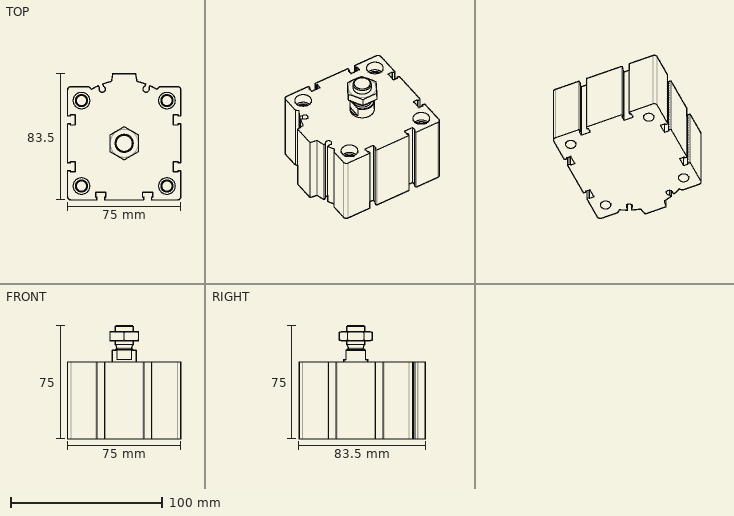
import cadquery as cq
import math

HOUSING_WIDTH = 75.0
HOUSING_HEIGHT = 51.0
CORNER_RADIUS = 2.2
HALF_WIDTH = HOUSING_WIDTH / 2

CROWN_RADIUS = 41.8
NOTCH_X = 23.4
TAB_TOP_Y = 46.0
TAB_TOP_HALF_WIDTH = 7.6
TAB_BASE_HALF_WIDTH = 8.5
TAB_ROOT_RADIUS = 0.5

KEYHOLE_ANGLE = 22.0
KEYHOLE_DIAMETER = 4.0
KEYHOLE_CENTRE_RADIUS = 38.6
KEYHOLE_NECK_WIDTH = 2.8
KEYHOLE_CUT_OVERRUN = 1.0

T_OFFSET = 15.5
T_DEPTH = 5.0
T_WIDTH = 6.5
T_LIP_DEPTH = 1.9
T_MOUTH_WIDTH = 5.0
T_LIP_RADIUS = 0.5

BOLT_SPACING = 56.5
BOLT_HOLE_DIAMETER = 6.8
BOLT_CHAMFER_DIAMETER = 8.0
COUNTERBORE_DIAMETER = 11.0
COUNTERBORE_DEPTH = 7.0

SHOULDER_DIAMETER = 16.0
SHOULDER_HEIGHT = 8.0
SHOULDER_CHAMFER = 0.3
FLATS_WIDTH = 13.0
COLLAR_HEIGHT = 1.5
NECK_DIAMETER = 10.2
NECK_FLARE_HEIGHT = 0.7
NECK_LENGTH = 0.5
NECK_RUNOUT_HEIGHT = 2.3
THREAD_DIAMETER = 12.0
TIP_DIAMETER = 10.65
ROD_LENGTH = 24.0

NUT_ACROSS_FLATS = 19.0
NUT_HEIGHT = 6.0
NUT_TO_ROD_TIP = 4.0
NUT_FACE_DIAMETER = 18.6
NUT_CHAMFER_HEIGHT = 0.4

ROD_TIP_Z = HOUSING_HEIGHT + ROD_LENGTH
NUT_TOP_Z = ROD_TIP_Z - NUT_TO_ROD_TIP


def make_housing_blank():
    """Extrude the square outline with its notches, curved crown and tab."""
    notch_rise = HALF_WIDTH - NOTCH_X
    root_x = (math.sqrt(2 * CROWN_RADIUS**2 - notch_rise**2) - notch_rise) / 2
    root_y = root_x + notch_rise
    tab_base_y = math.sqrt(CROWN_RADIUS**2 - TAB_BASE_HALF_WIDTH**2)
    arc_middle_angle = (math.atan2(root_y, root_x) + math.atan2(tab_base_y, TAB_BASE_HALF_WIDTH)) / 2
    arc_middle_x = CROWN_RADIUS * math.cos(arc_middle_angle)
    arc_middle_y = CROWN_RADIUS * math.sin(arc_middle_angle)

    blank = (
        cq.Workplane("XY")
        .moveTo(-HALF_WIDTH, -HALF_WIDTH)
        .lineTo(HALF_WIDTH, -HALF_WIDTH)
        .lineTo(HALF_WIDTH, HALF_WIDTH)
        .lineTo(NOTCH_X, HALF_WIDTH)
        .lineTo(root_x, root_y)
        .threePointArc((arc_middle_x, arc_middle_y), (TAB_BASE_HALF_WIDTH, tab_base_y))
        .lineTo(TAB_TOP_HALF_WIDTH, TAB_TOP_Y)
        .lineTo(-TAB_TOP_HALF_WIDTH, TAB_TOP_Y)
        .lineTo(-TAB_BASE_HALF_WIDTH, tab_base_y)
        .threePointArc((-arc_middle_x, arc_middle_y), (-root_x, root_y))
        .lineTo(-NOTCH_X, HALF_WIDTH)
        .lineTo(-HALF_WIDTH, HALF_WIDTH)
        .close()
        .extrude(HOUSING_HEIGHT)
    )
    blank = blank.edges("|Z and (>X or <X)").fillet(CORNER_RADIUS)
    for side in (-1, 1):
        tab_root = cq.NearestToPointSelector((side * TAB_BASE_HALF_WIDTH, tab_base_y, HOUSING_HEIGHT / 2))
        blank = blank.edges(tab_root).fillet(TAB_ROOT_RADIUS)
    return blank


def make_t_groove():
    """Cutter for one T groove with rounded lips, opening at the middle of the -Y face."""
    half_mouth = T_MOUTH_WIDTH / 2
    mouth_y = -HALF_WIDTH
    lip_y = mouth_y + T_LIP_DEPTH
    rounding = T_LIP_RADIUS
    mouth = (
        cq.Workplane("XY")
        .moveTo(-half_mouth - rounding, mouth_y)
        .radiusArc((-half_mouth, mouth_y + rounding), -rounding)
        .lineTo(-half_mouth, lip_y)
        .lineTo(half_mouth, lip_y)
        .lineTo(half_mouth, mouth_y + rounding)
        .radiusArc((half_mouth + rounding, mouth_y), -rounding)
        .close()
        .extrude(HOUSING_HEIGHT)
    )
    chamber_depth = T_DEPTH - T_LIP_DEPTH
    chamber = (
        cq.Workplane("XY")
        .center(0, lip_y + chamber_depth / 2)
        .rect(T_WIDTH, chamber_depth)
        .extrude(HOUSING_HEIGHT)
    )
    return mouth.union(chamber)


def make_keyhole_groove():
    """Cutter for one keyhole groove, pointing along +Y."""
    neck_length = CROWN_RADIUS + KEYHOLE_CUT_OVERRUN - KEYHOLE_CENTRE_RADIUS
    neck = (
        cq.Workplane("XY")
        .center(0, KEYHOLE_CENTRE_RADIUS + neck_length / 2)
        .rect(KEYHOLE_NECK_WIDTH, neck_length)
        .extrude(HOUSING_HEIGHT)
    )
    return neck.union(
        cq.Workplane("XY")
        .center(0, KEYHOLE_CENTRE_RADIUS)
        .circle(KEYHOLE_DIAMETER / 2)
        .extrude(HOUSING_HEIGHT)
    )


def make_bolt_hole():
    """Cutter for one counterbored through hole, turned about its own axis."""
    hole_radius = BOLT_HOLE_DIAMETER / 2
    chamfer_radius = BOLT_CHAMFER_DIAMETER / 2
    bore_radius = COUNTERBORE_DIAMETER / 2
    seat_z = HOUSING_HEIGHT - COUNTERBORE_DEPTH
    chamfer_z = seat_z - (chamfer_radius - hole_radius)
    return (
        cq.Workplane("XZ")
        .moveTo(0, 0)
        .lineTo(hole_radius, 0)
        .lineTo(hole_radius, chamfer_z)
        .lineTo(chamfer_radius, seat_z)
        .lineTo(bore_radius, seat_z)
        .lineTo(bore_radius, HOUSING_HEIGHT)
        .lineTo(0, HOUSING_HEIGHT)
        .close()
        .revolve(360, (0, 0, 0), (0, 1, 0))
    )


def make_housing():
    housing = make_housing_blank()

    t_groove = make_t_groove()
    for face_angle in (-90, 0, 90):
        for side in (-1, 1):
            groove = t_groove.translate((side * T_OFFSET, 0, 0))
            housing = housing.cut(groove.rotate((0, 0, 0), (0, 0, 1), face_angle))

    keyhole_groove = make_keyhole_groove()
    for angle in (-KEYHOLE_ANGLE, KEYHOLE_ANGLE):
        housing = housing.cut(keyhole_groove.rotate((0, 0, 0), (0, 0, 1), angle))

    bolt_hole = make_bolt_hole()
    for x_side in (-1, 1):
        for y_side in (-1, 1):
            position = (x_side * BOLT_SPACING / 2, y_side * BOLT_SPACING / 2, 0)
            housing = housing.cut(bolt_hole.translate(position))
    return housing


def make_rod():
    """Turn the shoulder, relief neck and threaded end, then mill two wrench flats."""
    shoulder_radius = SHOULDER_DIAMETER / 2
    neck_radius = NECK_DIAMETER / 2
    thread_radius = THREAD_DIAMETER / 2
    tip_radius = TIP_DIAMETER / 2

    shoulder_z = HOUSING_HEIGHT + SHOULDER_HEIGHT
    neck_bottom_z = shoulder_z + NECK_FLARE_HEIGHT
    neck_top_z = neck_bottom_z + NECK_LENGTH
    thread_z = neck_top_z + NECK_RUNOUT_HEIGHT
    tip_chamfer = thread_radius - tip_radius

    rod = (
        cq.Workplane("XZ")
        .moveTo(0, HOUSING_HEIGHT)
        .lineTo(shoulder_radius, HOUSING_HEIGHT)
        .lineTo(shoulder_radius, shoulder_z - SHOULDER_CHAMFER)
        .lineTo(shoulder_radius - SHOULDER_CHAMFER, shoulder_z)
        .lineTo(thread_radius, shoulder_z)
        .lineTo(neck_radius, neck_bottom_z)
        .lineTo(neck_radius, neck_top_z)
        .tangentArcPoint((thread_radius, thread_z), relative=False)
        .lineTo(thread_radius, ROD_TIP_Z - tip_chamfer)
        .lineTo(tip_radius, ROD_TIP_Z)
        .lineTo(0, ROD_TIP_Z)
        .close()
        .revolve(360, (0, 0, 0), (0, 1, 0))
    )

    flat_depth = (SHOULDER_DIAMETER - FLATS_WIDTH) / 2
    for side in (-1, 1):
        flat = (
            cq.Workplane("XY", origin=(0, 0, HOUSING_HEIGHT + COLLAR_HEIGHT))
            .center(0, side * (FLATS_WIDTH + flat_depth) / 2)
            .rect(SHOULDER_DIAMETER, flat_depth)
            .extrude(SHOULDER_HEIGHT - COLLAR_HEIGHT)
        )
        rod = rod.cut(flat)
    return rod


def make_nut():
    """Hexagon nut with two corners on the Y axis and both faces chamfered."""
    across_corners = NUT_ACROSS_FLATS / math.cos(math.radians(30))
    face_radius = NUT_FACE_DIAMETER / 2
    corner_radius = across_corners / 2
    bottom_z = NUT_TOP_Z - NUT_HEIGHT

    hexagon = (
        cq.Workplane("XY", origin=(0, 0, bottom_z))
        .polygon(6, across_corners)
        .extrude(NUT_HEIGHT)
        .rotate((0, 0, 0), (0, 0, 1), 90)
    )
    chamfered_ring = (
        cq.Workplane("XZ")
        .moveTo(THREAD_DIAMETER / 2, bottom_z)
        .lineTo(face_radius, bottom_z)
        .lineTo(corner_radius, bottom_z + NUT_CHAMFER_HEIGHT)
        .lineTo(corner_radius, NUT_TOP_Z - NUT_CHAMFER_HEIGHT)
        .lineTo(face_radius, NUT_TOP_Z)
        .lineTo(THREAD_DIAMETER / 2, NUT_TOP_Z)
        .close()
        .revolve(360, (0, 0, 0), (0, 1, 0))
    )
    return hexagon.intersect(chamfered_ring)


housing = make_housing()
rod = make_rod()
nut = make_nut()

result = cq.Compound.makeCompound([housing.val(), rod.val(), nut.val()])